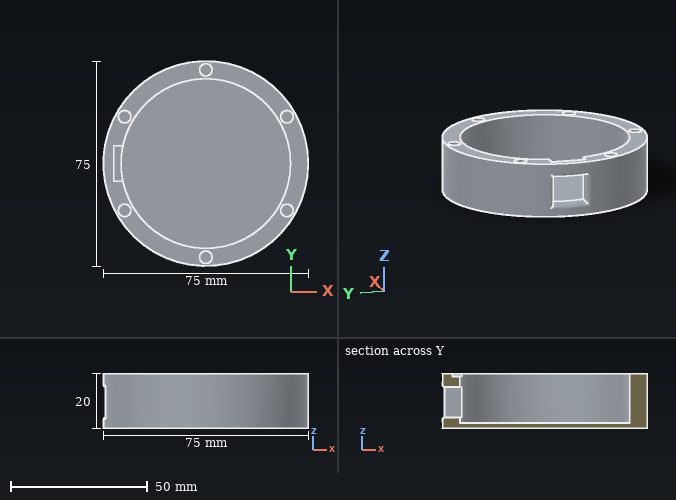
import cadquery as cq

outer_diameter = 75.0
inner_diameter = 62.0
height = 20.0
floor_thickness = 2.0

rim_hole_count = 6
first_hole_angle = 90
rim_hole_diameter = 4.6
rim_hole_depth = 1.2
rim_hole_circle_diameter = (outer_diameter + inner_diameter) / 2

window_width = 12.9
window_height = 11.0
window_bottom = 4.05
window_edge_radius = 1.0

notch_outer_x = -33.75
notch_depth = 1.0


def make_cup():
    body = cq.Workplane("XY").circle(outer_diameter / 2).extrude(height)
    cavity = (
        cq.Workplane("XY")
        .workplane(offset=floor_thickness)
        .circle(inner_diameter / 2)
        .extrude(height - floor_thickness)
    )
    return body.cut(cavity)


def cut_window(body):
    cutter = (
        cq.Workplane("YZ")
        .center(0, window_bottom + window_height / 2)
        .rect(window_width, window_height)
        .extrude(-outer_diameter)
    )
    outer_half = cq.selectors.BoxSelector(
        (-outer_diameter, -window_width, floor_thickness),
        (-rim_hole_circle_diameter / 2, window_width, height - floor_thickness),
    )
    return body.cut(cutter).edges(outer_half).fillet(window_edge_radius)


def cut_notch(body):
    cutter = (
        cq.Workplane("XY")
        .box(-notch_outer_x, window_width, notch_depth, centered=(False, True, False))
        .translate((notch_outer_x, 0, height - notch_depth))
    )
    return body.cut(cutter)


def cut_rim_holes(body):
    holes = (
        cq.Workplane("XY")
        .workplane(offset=height - rim_hole_depth)
        .polarArray(rim_hole_circle_diameter / 2, first_hole_angle, 360, rim_hole_count)
        .circle(rim_hole_diameter / 2)
        .extrude(rim_hole_depth)
    )
    return body.cut(holes)


result = cut_rim_holes(cut_notch(cut_window(make_cup())))